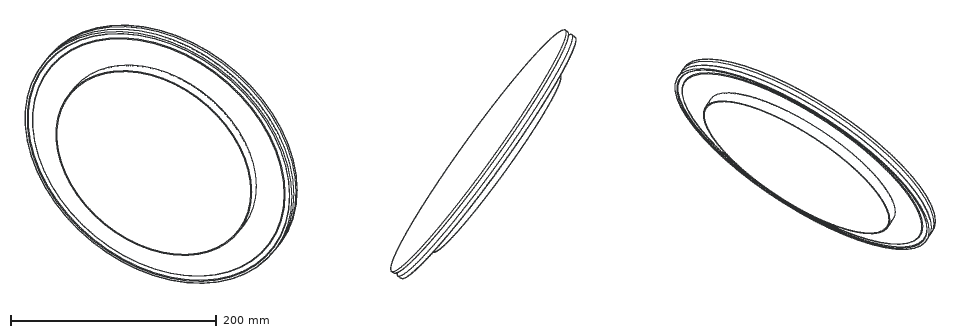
import cadquery as cq

flange_radius = 145.0
flange_thickness = 12.0
boss_radius = 106.5
total_depth = 22.0
sleeve_wall = 1.2
plug_radius = boss_radius - sleeve_wall

boss_front = -total_depth / 2
flange_back = total_depth / 2
flange_front = flange_back - flange_thickness
boss_height = flange_front - boss_front

rim_groove_radius = 2.3
rim_groove_setback = 5.2

recess_outer_radius = 142.7
recess_inner_radius = 136.5
recess_depth = 1.0
wall_run = 0.73


def make_flange():
    """Blank flange with a front plug, a round rim groove and a shallow face recess."""
    groove_center = flange_back - rim_groove_setback
    recess_floor = flange_front + recess_depth
    return (
        cq.Workplane("XY")
        .moveTo(0, boss_front)
        .lineTo(plug_radius, boss_front)
        .lineTo(plug_radius, flange_front)
        .lineTo(recess_inner_radius, flange_front)
        .lineTo(recess_inner_radius + wall_run, recess_floor)
        .lineTo(recess_outer_radius - wall_run, recess_floor)
        .lineTo(recess_outer_radius, flange_front)
        .lineTo(flange_radius, flange_front)
        .lineTo(flange_radius, groove_center - rim_groove_radius)
        .threePointArc(
            (flange_radius - rim_groove_radius, groove_center),
            (flange_radius, groove_center + rim_groove_radius),
        )
        .lineTo(flange_radius, flange_back)
        .lineTo(0, flange_back)
        .close()
        .revolve(360, (0, 0, 0), (0, 1, 0))
    )


def make_sleeve():
    """Thin sleeve around the plug, seated on the front face of the flange."""
    return (
        cq.Workplane("XZ", origin=(0, flange_front, 0))
        .circle(boss_radius)
        .circle(plug_radius)
        .extrude(boss_height)
    )


flange = make_flange()
sleeve = make_sleeve()
result = cq.Compound.makeCompound([flange.val(), sleeve.val()])